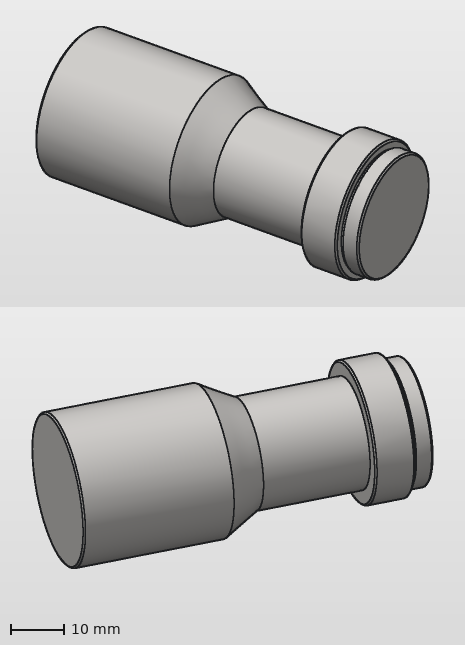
import cadquery as cq

total_length = 70.5
body_diameter = 30.0
neck_diameter = 22.0
collar_diameter = 28.0
groove_diameter = 24.45
tip_diameter = 25.25

body_end = 29.95
taper_end = 37.2
collar_start = 58.45
collar_end = 66.5
groove_end = 67.1

edge_chamfer = 0.35


def cylinder(start, end, diameter):
    """Solid cylinder along X between two stations."""
    return cq.Workplane("YZ", origin=(start, 0, 0)).circle(diameter / 2).extrude(end - start)


body = cylinder(0, body_end, body_diameter).faces("<X").chamfer(edge_chamfer)

taper = (
    cq.Workplane("XY")
    .moveTo(body_end, 0)
    .lineTo(body_end, body_diameter / 2)
    .lineTo(taper_end, neck_diameter / 2)
    .lineTo(taper_end, 0)
    .close()
    .revolve(360, (0, 0, 0), (1, 0, 0))
)

neck = cylinder(taper_end, collar_start, neck_diameter)

collar = cylinder(collar_start, collar_end, collar_diameter).faces("<X or >X").chamfer(edge_chamfer)

groove = cylinder(collar_end, groove_end, groove_diameter)
tip = cylinder(groove_end, total_length, tip_diameter).faces(">X").chamfer(edge_chamfer)

result = body.union(taper).union(neck).union(collar).union(groove).union(tip)